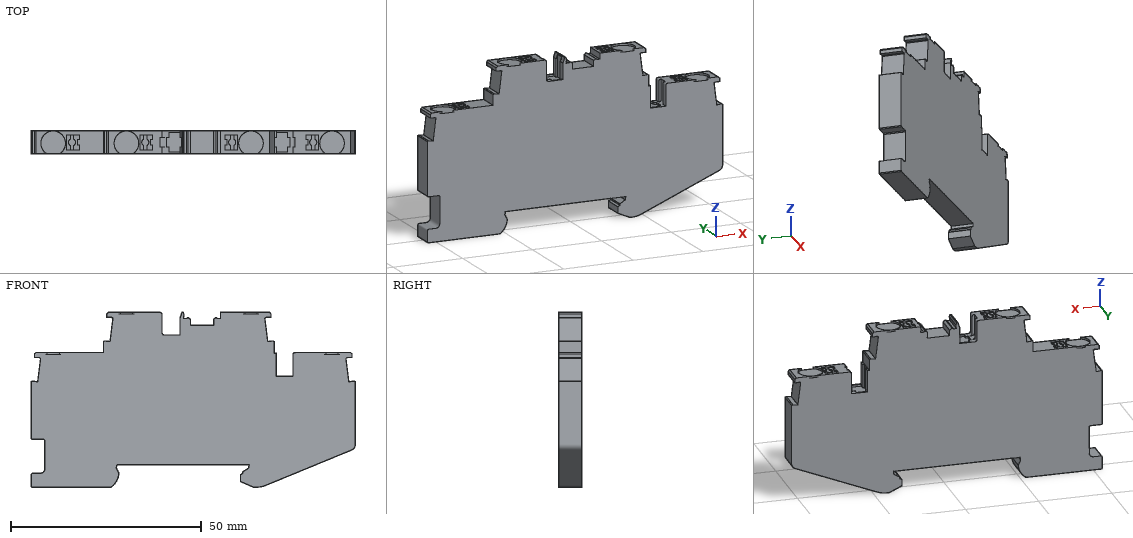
import cadquery as cq

LENGTH = 85.0
THICKNESS = 6.1
HEIGHT = 45.9

LOWER_TOP = 35.4
FOOT_TOP = 3.7
NOTCH_TOP = 12.6
NOTCH_DEPTH = 3.6
LID_HEIGHT = 7.65
RAIL_SEAT = 5.9
BRIDGE_FLOOR = 42.5

LOWER_LEFT = 0.0
LOWER_RIGHT = LENGTH
UPPER_LEFT = 18.95
UPPER_RIGHT = 63.75

CORNER_CHAMFER = 0.25
FOOT_EDGE_ROUND = 0.5
FOOT_ROUND = 1.1
END_ROUND = 1.6
SLOPE_ROUND = 6.6

LIP_INSET = 0.85
LIP_ROUND = 0.4
LIP_THICKNESS = 1.4
NECK_TOP_INSET = 2.5
NECK_BASE_INSET = 1.7
SHOULDER_CHAMFER = 0.3

UPPER_SLOT_LEFT, UPPER_SLOT_RIGHT, UPPER_SLOT_FLOOR = 34.3, 39.0, 39.95
LOWER_SLOT_LEFT, LOWER_SLOT_RIGHT, LOWER_SLOT_FLOOR = 64.3, 68.6, 29.15
SLOT_ROUND = 0.6
SLOT_LEDGE = 35.2
GROOVE_WIDTH = 2.55
LID_GROOVE_DEPTH = 0.6
INNER_GROOVE_DEPTH = 0.4
FLOOR_POCKET_LENGTH = 2.9
FLOOR_POCKET_WIDTH = 5.1
FLOOR_POCKET_REACH = 3.6
FLOOR_POCKET_DEPTH = 0.5

DISC_RADIUS = 3.2
DISC_Y = -0.25
DISC_DEPTH = 0.5
DISC_CENTERS = [(5.8, LOWER_TOP, 1), (25.0, HEIGHT, 1), (57.6, HEIGHT, -1), (78.9, LOWER_TOP, -1)]
MARK_OFFSET = 5.2
MARK_LENGTH = 3.3
MARK_WIDTH = 3.9
MARK_DEPTH = 0.25
MARK_NOTCH_WIDTH = 1.4
MARK_NOTCH_DEPTH = 0.5
KEY_OFFSET = -0.25
KEY_DIAMETER = 1.9
KEY_SLOT_WIDTH = 0.85
KEY_DEPTH = 0.5


def lid_end(edge, top, inward):
    """Points from the shoulder edge up round the lip to the lid top; inward is +1 or -1."""
    shoulder = top - LID_HEIGHT
    lip_base = top - LIP_THICKNESS
    profile = [
        (0.0, shoulder),
        (SHOULDER_CHAMFER, shoulder + SHOULDER_CHAMFER / 2),
        (NECK_BASE_INSET, shoulder),
        (NECK_TOP_INSET, lip_base - SHOULDER_CHAMFER / 2),
        (NECK_TOP_INSET - SHOULDER_CHAMFER, lip_base),
        (LIP_INSET, lip_base),
        (LIP_INSET, top - LIP_ROUND),
        (LIP_INSET + LIP_ROUND, top),
    ]
    return [(edge + inward * inset, z) for inset, z in profile]


def make_body():
    """Stepped outline, followed clockwise from the lower left corner, across the thickness."""
    upper_left_lid = lid_end(UPPER_LEFT, HEIGHT, 1)
    upper_right_lid = lid_end(UPPER_RIGHT, HEIGHT, -1)[::-1]
    lower_left_lid = lid_end(LOWER_LEFT, LOWER_TOP, 1)
    lower_right_lid = lid_end(LOWER_RIGHT, LOWER_TOP, -1)[::-1]

    left_notch = [
        (NOTCH_DEPTH, NOTCH_TOP - CORNER_CHAMFER),
        (NOTCH_DEPTH - CORNER_CHAMFER, NOTCH_TOP),
        (CORNER_CHAMFER, NOTCH_TOP),
        (0.0, NOTCH_TOP + CORNER_CHAMFER),
    ]
    marker_tooth = [
        (UPPER_SLOT_RIGHT, 44.45), (39.5, HEIGHT), (39.9, HEIGHT), (40.1, 45.3), (39.95, 44.3),
        (40.7, 44.3), (41.1, 44.5), (41.8, 44.0), (41.8, BRIDGE_FLOOR),
    ]
    bridge_end = [
        (47.85, BRIDGE_FLOOR), (47.85, 44.1), (48.45, 44.5), (48.9, 44.3), (49.6, 44.3), (49.6, HEIGHT),
    ]
    rail_hook = [
        (58.3, 0.0), (54.8, 1.5), (54.8, 3.3), (55.4, 3.65), (55.4, 4.1), (56.95, 5.0),
        (57.1, RAIL_SEAT), (22.5, RAIL_SEAT), (22.35, 5.1), (23.0, 3.7),
    ]

    outline = cq.Workplane("XZ").moveTo(CORNER_CHAMFER, 0.0)
    outline = outline.lineTo(0.0, CORNER_CHAMFER)
    outline = outline.lineTo(0.0, FOOT_TOP - FOOT_EDGE_ROUND)
    outline = outline.radiusArc((FOOT_EDGE_ROUND, FOOT_TOP), FOOT_EDGE_ROUND)
    outline = outline.lineTo(NOTCH_DEPTH - FOOT_ROUND, FOOT_TOP)
    outline = outline.radiusArc((NOTCH_DEPTH, FOOT_TOP + FOOT_ROUND), -FOOT_ROUND)
    upper_edge = (
        left_notch
        + lower_left_lid
        + [(UPPER_LEFT, LOWER_TOP)]
        + upper_left_lid
        + [(UPPER_SLOT_LEFT - SLOT_ROUND, HEIGHT)]
    )
    for x, z in upper_edge:
        outline = outline.lineTo(x, z)
    outline = outline.radiusArc((UPPER_SLOT_LEFT, HEIGHT - SLOT_ROUND), SLOT_ROUND)
    outline = outline.lineTo(UPPER_SLOT_LEFT, UPPER_SLOT_FLOOR + SLOT_ROUND)
    outline = outline.radiusArc((UPPER_SLOT_LEFT + SLOT_ROUND, UPPER_SLOT_FLOOR), -SLOT_ROUND)
    middle_edge = (
        [(UPPER_SLOT_RIGHT, UPPER_SLOT_FLOOR)]
        + marker_tooth
        + bridge_end
        + upper_right_lid
        + [(UPPER_RIGHT, SLOT_LEDGE), (LOWER_SLOT_LEFT, SLOT_LEDGE)]
        + [(LOWER_SLOT_LEFT, LOWER_SLOT_FLOOR), (LOWER_SLOT_RIGHT, LOWER_SLOT_FLOOR)]
        + [(LOWER_SLOT_RIGHT, LOWER_TOP - SLOT_ROUND)]
    )
    for x, z in middle_edge:
        outline = outline.lineTo(x, z)
    outline = outline.radiusArc((LOWER_SLOT_RIGHT + SLOT_ROUND, LOWER_TOP), SLOT_ROUND)
    for x, z in lower_right_lid + [(LENGTH, 11.2)]:
        outline = outline.lineTo(x, z)
    outline = outline.radiusArc((84.1, 9.8), END_ROUND)
    outline = outline.lineTo(61.5, 0.5)
    outline = outline.radiusArc((59.2, 0.0), SLOPE_ROUND)
    for x, z in rail_hook:
        outline = outline.lineTo(x, z)
    outline = outline.threePointArc((22.35, 1.5), (20.9, 0.0))
    return outline.close().extrude(THICKNESS / 2, both=True)


def box(x_from, x_to, width, z_from, z_to):
    """Box centred across the thickness."""
    return (
        cq.Workplane("XY", origin=((x_from + x_to) / 2, 0, z_from))
        .rect(abs(x_to - x_from), width)
        .extrude(z_to - z_from)
    )


def slot_cutter(inner_wall, lid_wall, floor):
    """Grooves in both slot walls and the stepped pocket in the slot floor."""
    toward_lid = 1 if lid_wall > inner_wall else -1
    top = HEIGHT + 0.85
    pocket_floor = floor - FLOOR_POCKET_DEPTH
    groove_end = inner_wall - toward_lid * INNER_GROOVE_DEPTH
    grooves = box(groove_end, lid_wall + toward_lid * LID_GROOVE_DEPTH, GROOVE_WIDTH, floor, top)
    lid_side = ">X" if toward_lid > 0 else "<X"
    grooves = grooves.faces(lid_side).edges("<Z").fillet(SLOT_ROUND)
    wide_end = inner_wall + toward_lid * FLOOR_POCKET_LENGTH
    narrow_end = inner_wall + toward_lid * FLOOR_POCKET_REACH
    wide = box(inner_wall, wide_end, FLOOR_POCKET_WIDTH, pocket_floor, floor)
    narrow = box(groove_end, narrow_end, GROOVE_WIDTH, pocket_floor, floor)
    return grooves.union(wide).union(narrow)


def lid_marking(x, top, side):
    """Round recess with a wire-entry mark next to it; side is the direction of the mark."""
    disc = cq.Workplane("XY", origin=(x, DISC_Y, top)).circle(DISC_RADIUS).extrude(-DISC_DEPTH)
    mark_x = x + side * MARK_OFFSET
    mark = box(mark_x - MARK_LENGTH / 2, mark_x + MARK_LENGTH / 2, MARK_WIDTH, top - MARK_DEPTH, top)
    far_end = mark_x + side * MARK_LENGTH / 2
    mark = mark.cut(
        box(far_end - side * MARK_NOTCH_DEPTH, far_end, MARK_NOTCH_WIDTH, top - MARK_DEPTH, top)
    )
    key_x = mark_x + side * KEY_OFFSET
    key = cq.Workplane("XY", origin=(key_x, 0, top)).circle(KEY_DIAMETER / 2).extrude(-KEY_DEPTH)
    key_slot = box(key_x - KEY_SLOT_WIDTH / 2, key_x + KEY_SLOT_WIDTH / 2, MARK_WIDTH, top - KEY_DEPTH, top)
    return disc.union(mark).union(key).union(key_slot)


result = make_body()
result = result.cut(slot_cutter(UPPER_SLOT_RIGHT, UPPER_SLOT_LEFT, UPPER_SLOT_FLOOR))
result = result.cut(slot_cutter(LOWER_SLOT_LEFT, LOWER_SLOT_RIGHT, LOWER_SLOT_FLOOR))
for disc_x, lid_top, mark_side in DISC_CENTERS:
    result = result.cut(lid_marking(disc_x, lid_top, mark_side))